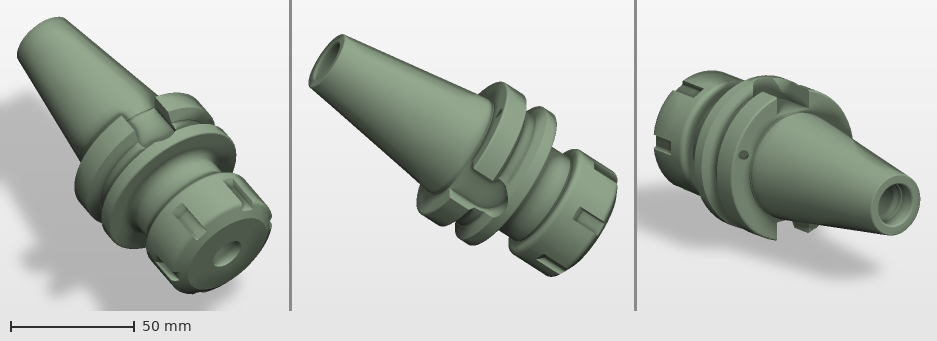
import cadquery as cq
import math


taper_length = 65.4
taper_ratio = 7 / 24
gauge_radius = 44.45 / 2
small_end_radius = gauge_radius - taper_length * taper_ratio / 2
small_end_chamfer = 0.3
land_length = 0.6
relief_width = 0.8
relief_depth = 0.3

flange_start = taper_length + 2.0
flange_end = taper_length + 27.0
flange_radius = 63.0 / 2
flange_edge_round = 0.8
v_groove_center = taper_length + 16.6
v_groove_mouth = 10.0
v_groove_root_radius = 53.0 / 2
v_groove_half_angle = 30.0
v_groove_root_width = 5.0
v_groove_root_round = 0.4
v_groove_wall_radius = flange_radius - (v_groove_mouth - v_groove_root_width) / 2 / math.tan(
    math.radians(v_groove_half_angle)
)

keyway_width = 16.4
keyway_floor = 22.5
keyway_end = taper_length + 23.2

coolant_diameter = 4.2
coolant_pitch_radius = 26.9
coolant_azimuth = 20.0
coolant_tilt = 39.0
coolant_depth = 12.0

neck_radius = 20.0
neck_fillet = 3.0
neck_chamfer = 0.5
neck_nut_gap = 0.4
spigot_radius = neck_radius - neck_chamfer

bore_radius = 6.9
pilot_radius = 8.5
pilot_depth = 6.7
pilot_mouth_round = 1.0
lead_in_radius = 8.0
lead_in_depth = 8.6
lead_in_cone_length = 1.7

overall_length = 130.68
nut_length = 22.7
nut_start = overall_length - nut_length
nut_radius = 25.0
nut_back_round = 2.0
nut_nose_round = 2.2
nut_nose_angle = 60.0
nut_face_radius = 19.2
nut_lip = 5.0
spigot_end = overall_length - nut_lip

slot_count = 6
slot_width = 6.0
slot_floor = 22.0
slot_floor_round = 0.6
short_slot_length = overall_length - 115.3
long_slot_length = overall_length - 112.9
long_slot_angles = (60, 120)

overshoot = 5.0


def make_holder_blank():
    """Solid of revolution: taper, relief, V-grooved flange, neck and spigot."""
    neck_end = nut_start - neck_nut_gap
    relief_start = taper_length + land_length
    relief_end = relief_start + relief_width
    relief_radius = gauge_radius - relief_depth
    root_start = v_groove_center - v_groove_root_width / 2
    root_end = v_groove_center + v_groove_root_width / 2
    root_corner = v_groove_root_round * (1 - math.sqrt(0.5))
    corner = flange_edge_round * (1 - math.sqrt(0.5))
    fillet_mid = neck_fillet * (1 - math.sqrt(0.5))
    return (
        cq.Workplane("XY")
        .moveTo(0, 0)
        .lineTo(0, small_end_radius - small_end_chamfer)
        .lineTo(small_end_chamfer, small_end_radius + small_end_chamfer * taper_ratio / 2)
        .lineTo(taper_length, gauge_radius)
        .lineTo(relief_start, gauge_radius)
        .lineTo(relief_start, relief_radius)
        .lineTo(relief_end, relief_radius)
        .lineTo(relief_end, gauge_radius)
        .lineTo(flange_start, gauge_radius)
        .lineTo(flange_start, flange_radius - flange_edge_round)
        .threePointArc(
            (flange_start + corner, flange_radius - corner),
            (flange_start + flange_edge_round, flange_radius),
        )
        .lineTo(v_groove_center - v_groove_mouth / 2, flange_radius)
        .lineTo(root_start, v_groove_wall_radius)
        .lineTo(root_start, v_groove_root_radius + v_groove_root_round)
        .threePointArc(
            (root_start + root_corner, v_groove_root_radius + root_corner),
            (root_start + v_groove_root_round, v_groove_root_radius),
        )
        .lineTo(root_end - v_groove_root_round, v_groove_root_radius)
        .threePointArc(
            (root_end - root_corner, v_groove_root_radius + root_corner),
            (root_end, v_groove_root_radius + v_groove_root_round),
        )
        .lineTo(root_end, v_groove_wall_radius)
        .lineTo(v_groove_center + v_groove_mouth / 2, flange_radius)
        .lineTo(flange_end - flange_edge_round, flange_radius)
        .threePointArc(
            (flange_end - corner, flange_radius - corner),
            (flange_end, flange_radius - flange_edge_round),
        )
        .lineTo(flange_end, neck_radius + neck_fillet)
        .threePointArc(
            (flange_end + fillet_mid, neck_radius + fillet_mid),
            (flange_end + neck_fillet, neck_radius),
        )
        .lineTo(neck_end - neck_chamfer, neck_radius)
        .lineTo(neck_end, spigot_radius)
        .lineTo(spigot_end, spigot_radius)
        .lineTo(spigot_end, 0)
        .close()
        .revolve(360, (0, 0, 0), (1, 0, 0))
    )


def make_bore():
    """Pull-stud pilot, thread lead-in and straight bore through the holder."""
    mouth_mid = pilot_mouth_round * (1 - math.sqrt(0.5))
    return (
        cq.Workplane("XY")
        .moveTo(0, 0)
        .lineTo(0, pilot_radius + pilot_mouth_round)
        .threePointArc((mouth_mid, pilot_radius + mouth_mid), (pilot_mouth_round, pilot_radius))
        .lineTo(pilot_depth, pilot_radius)
        .lineTo(pilot_depth, lead_in_radius)
        .lineTo(lead_in_depth, lead_in_radius)
        .lineTo(lead_in_depth + lead_in_cone_length, bore_radius)
        .lineTo(spigot_end, bore_radius)
        .lineTo(spigot_end, 0)
        .close()
        .revolve(360, (0, 0, 0), (1, 0, 0))
    )


def make_keyway():
    """Round-ended key slot on the +Z side, open towards the taper."""
    half_width = keyway_width / 2
    return (
        cq.Workplane("XY")
        .workplane(offset=keyway_floor)
        .moveTo(flange_start, -half_width)
        .lineTo(keyway_end - half_width, -half_width)
        .threePointArc((keyway_end, 0), (keyway_end - half_width, half_width))
        .lineTo(flange_start, half_width)
        .close()
        .extrude(flange_radius - keyway_floor + overshoot)
    )


def make_coolant_hole():
    """Blind hole leaning towards the axis as it goes into the flange."""
    tilt = math.radians(coolant_tilt)
    direction = cq.Vector(math.cos(tilt), -math.sin(tilt), 0)
    entry = cq.Vector(flange_start, coolant_pitch_radius, 0)
    start = entry - direction * overshoot
    hole = cq.Solid.makeCylinder(coolant_diameter / 2, coolant_depth + overshoot, start, direction)
    return cq.Workplane(obj=hole).rotate((0, 0, 0), (1, 0, 0), coolant_azimuth)


def make_holder():
    holder = make_holder_blank().cut(make_bore())
    for half_turn in (0, 180):
        holder = holder.cut(make_keyway().rotate((0, 0, 0), (1, 0, 0), half_turn))
        holder = holder.cut(make_coolant_hole().rotate((0, 0, 0), (1, 0, 0), half_turn))
    return holder


def make_nut_blank():
    """Nut with a spigot recess at the back and a bored front lip."""
    nose = math.radians(nut_nose_angle)
    nose_drop = nut_nose_round * (1 - math.cos(nose))
    cone_length = (nut_radius - nose_drop - nut_face_radius) / math.tan(nose)
    cone_start = overall_length - cone_length
    nose_round_start = cone_start - nut_nose_round * math.sin(nose)
    nose_mid = (
        nose_round_start + nut_nose_round * math.sin(nose / 2),
        nut_radius - nut_nose_round * (1 - math.cos(nose / 2)),
    )
    back_corner = nut_back_round * (1 - math.sqrt(0.5))
    return (
        cq.Workplane("XY")
        .moveTo(nut_start, spigot_radius)
        .lineTo(nut_start, nut_radius - nut_back_round)
        .threePointArc(
            (nut_start + back_corner, nut_radius - back_corner),
            (nut_start + nut_back_round, nut_radius),
        )
        .lineTo(nose_round_start, nut_radius)
        .threePointArc(nose_mid, (cone_start, nut_radius - nose_drop))
        .lineTo(overall_length, nut_face_radius)
        .lineTo(overall_length, bore_radius)
        .lineTo(spigot_end, bore_radius)
        .lineTo(spigot_end, spigot_radius)
        .close()
        .revolve(360, (0, 0, 0), (1, 0, 0))
    )


def make_spanner_slot(length):
    """Slot on the +Y side: flat floor, 45-degree run-out at the back, rounded floor corners."""
    outer = nut_radius + overshoot
    back = overall_length - length
    front = overall_length + overshoot
    return (
        cq.Workplane("XY")
        .moveTo(back - overshoot, outer)
        .lineTo(back + nut_radius - slot_floor, slot_floor)
        .lineTo(front, slot_floor)
        .lineTo(front, outer)
        .close()
        .extrude(slot_width / 2, both=True)
        .faces("<Y")
        .edges("|X")
        .fillet(slot_floor_round)
    )


def make_nut():
    nut = make_nut_blank()
    for index in range(slot_count):
        angle = index * 360 // slot_count
        length = long_slot_length if angle in long_slot_angles else short_slot_length
        nut = nut.cut(make_spanner_slot(length).rotate((0, 0, 0), (1, 0, 0), angle))
    return nut


holder = make_holder()
nut = make_nut()
result = cq.Compound.makeCompound([holder.val(), nut.val()])